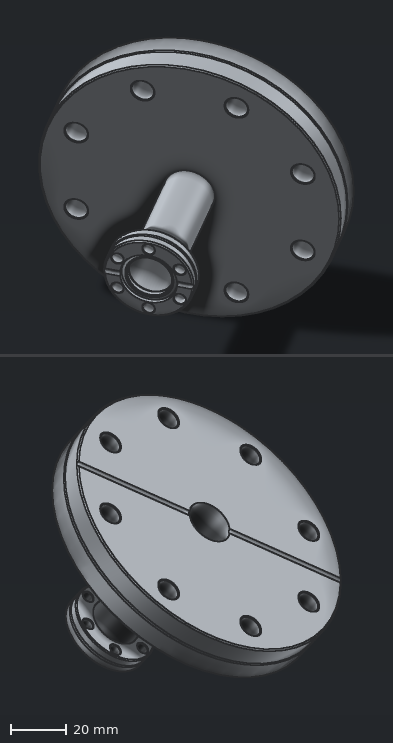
import cadquery as cq
import math

total_length = 70.0
front_y = -total_length / 2
back_y = total_length / 2

large_diameter = 113.5
large_thickness = 17.5
large_edge_chamfer = 0.6
large_hole_diameter = 8.4
large_hole_circle = 92.2
large_hole_count = 8
large_hole_chamfer = 0.3
large_hole_start = 180 / large_hole_count
large_front_y = back_y - large_thickness

small_diameter = 33.8
small_thickness = 7.5
small_front_chamfer = 0.6
small_back_chamfer = 0.5
small_hole_diameter = 4.4
small_hole_circle = 27.0
small_hole_count = 6
small_hole_chamfer = 0.2
small_hole_start = 90.0
small_back_y = front_y + small_thickness

rim_groove_width = 1.0
rim_groove_depth = 0.17

leak_groove_width = 2.3
leak_groove_depth = 0.62

tube_diameter = 19.1
tube_bore = 17.3

insert_diameter = 21.1
insert_bore = 16.8
insert_rim_depth = 1.5
insert_length = 2.2
knife_diameter = 18.3
knife_height = 0.51
knife_root_diameter = 17.9
insert_front_y = front_y + insert_rim_depth
insert_back_y = insert_front_y + insert_length

ring_seat_diameter = 21.5
ring_tube_hole = 19.2


def cylinder_along_y(diameter, start_y, end_y):
    """Solid cylinder centred on the Y axis between two Y positions."""
    plane = cq.Workplane("XZ", origin=(0, start_y, 0))
    return plane.circle(diameter / 2).extrude(start_y - end_y)


def revolve_about_y(profile):
    """Solid of revolution about the Y axis from a closed profile of (radius, Y) points."""
    return profile.revolve(360, (0, 0, 0), (0, 1, 0))


def bolt_hole(diameter, chamfer, start_y, end_y):
    """Cutter for one bolt hole on the Y axis, chamfered at both ends."""
    radius = diameter / 2
    points = [
        (0, start_y),
        (radius + chamfer, start_y),
        (radius, start_y + chamfer),
        (radius, end_y - chamfer),
        (radius + chamfer, end_y),
        (0, end_y),
    ]
    return revolve_about_y(cq.Workplane("XY").polyline(points).close())


def cut_bolt_holes(flange, hole, circle_diameter, count, start_angle):
    """Cut copies of a hole, evenly spaced on a bolt circle, out of a flange."""
    for index in range(count):
        angle = math.radians(start_angle + index * 360 / count)
        centre_x = circle_diameter / 2 * math.cos(angle)
        centre_z = circle_diameter / 2 * math.sin(angle)
        flange = flange.cut(hole.translate((centre_x, 0, centre_z)))
    return flange


def rim_groove(diameter, middle_y):
    """Cutter for a shallow round-bottomed groove around the rim of a flange."""
    rim_radius = diameter / 2
    start = (rim_radius, middle_y - rim_groove_width / 2)
    bottom = (rim_radius - rim_groove_depth, middle_y)
    end = (rim_radius, middle_y + rim_groove_width / 2)
    profile = cq.Workplane("XY").moveTo(*start).threePointArc(bottom, end).close()
    return revolve_about_y(profile)


def leak_groove(face_y, inward, length):
    """Cutter for a round-bottomed groove along X; inward is the Y direction into the flange."""
    half_width = leak_groove_width / 2
    radius = (half_width**2 + leak_groove_depth**2) / (2 * leak_groove_depth)
    axis_y = face_y + inward * (leak_groove_depth - radius)
    plane = cq.Workplane("YZ", origin=(-length / 2, axis_y, 0))
    return plane.circle(radius).extrude(length)


def make_large_flange():
    flange = cylinder_along_y(large_diameter, large_front_y, back_y)
    flange = flange.edges().chamfer(large_edge_chamfer)
    flange = flange.cut(rim_groove(large_diameter, (large_front_y + back_y) / 2))
    flange = flange.cut(cylinder_along_y(tube_bore, large_front_y, back_y))
    hole = bolt_hole(large_hole_diameter, large_hole_chamfer, large_front_y, back_y)
    flange = cut_bolt_holes(flange, hole, large_hole_circle, large_hole_count, large_hole_start)
    return flange.cut(leak_groove(back_y, -1, large_diameter))


def make_tube():
    tube = cylinder_along_y(tube_diameter, insert_back_y, large_front_y)
    return tube.cut(cylinder_along_y(tube_bore, insert_back_y, large_front_y))


def make_small_ring():
    ring = cylinder_along_y(small_diameter, front_y, small_back_y)
    ring = ring.faces("<Y").chamfer(small_front_chamfer)
    ring = ring.faces(">Y").chamfer(small_back_chamfer)
    ring = ring.cut(rim_groove(small_diameter, (front_y + small_back_y) / 2))
    ring = ring.cut(cylinder_along_y(ring_tube_hole, front_y, small_back_y))
    ring = ring.cut(cylinder_along_y(ring_seat_diameter, front_y, insert_back_y))
    hole = bolt_hole(small_hole_diameter, small_hole_chamfer, front_y, small_back_y)
    ring = cut_bolt_holes(ring, hole, small_hole_circle, small_hole_count, small_hole_start)
    return ring.cut(leak_groove(front_y, 1, small_diameter))


def make_insert():
    points = [
        (insert_bore / 2, insert_front_y),
        (knife_root_diameter / 2, insert_front_y),
        (knife_diameter / 2, insert_front_y - knife_height),
        (insert_diameter / 2, insert_front_y),
        (insert_diameter / 2, insert_back_y),
        (insert_bore / 2, insert_back_y),
    ]
    return revolve_about_y(cq.Workplane("XY").polyline(points).close())


large_flange = make_large_flange()
tube = make_tube()
small_ring = make_small_ring()
insert = make_insert()

result = cq.Compound.makeCompound([large_flange.val(), tube.val(), small_ring.val(), insert.val()])